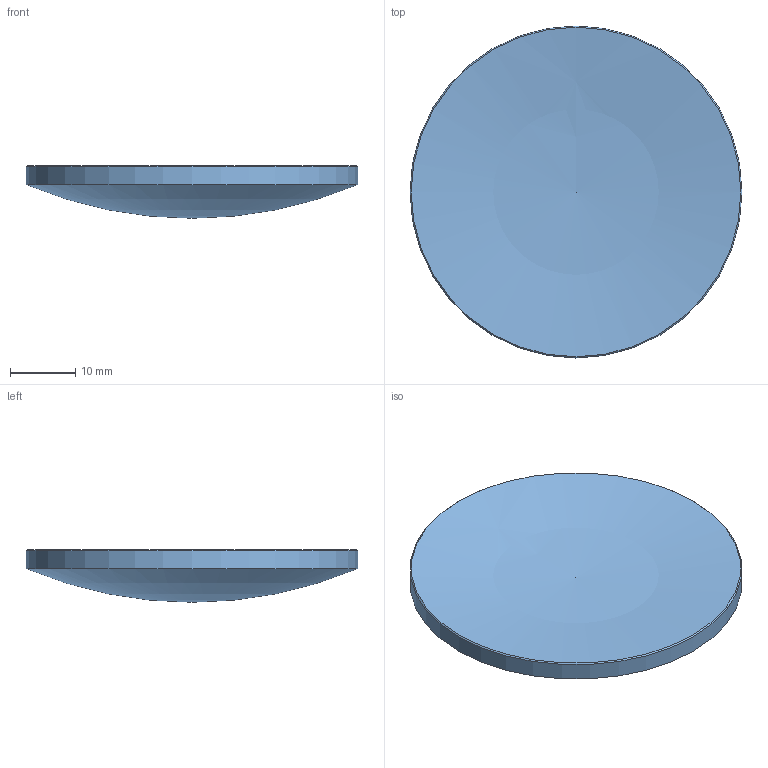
import cadquery as cq
import math

diameter = 50.8
overall_height = 8.03
convex_radius = 65.2
concave_radius = 171.6
bevel = 0.18

rim_radius = diameter / 2
concave_aperture = rim_radius - bevel


def sag(sphere_radius, aperture):
    """Depth of a spherical cap at a given distance from the axis."""
    return sphere_radius - math.sqrt(sphere_radius**2 - aperture**2)


rim_bottom = sag(convex_radius, rim_radius)
rim_top = overall_height - bevel
concave_apex = overall_height - sag(concave_radius, concave_aperture)


def sphere_point(apex_height, sphere_radius, radius):
    """Profile point on an upward-opening sphere."""
    return (radius, apex_height + sag(sphere_radius, radius))


def make_lens():
    """Revolve the half section of the lens around the Z axis."""
    half_section = (
        cq.Workplane("YZ")
        .moveTo(0, 0)
        .threePointArc(
            sphere_point(0, convex_radius, rim_radius / 2),
            (rim_radius, rim_bottom),
        )
        .lineTo(rim_radius, rim_top)
        .lineTo(concave_aperture, overall_height)
        .threePointArc(
            sphere_point(concave_apex, concave_radius, concave_aperture / 2),
            (0, concave_apex),
        )
        .close()
    )
    return half_section.revolve(360, (0, 0, 0), (0, 1, 0))


result = make_lens()